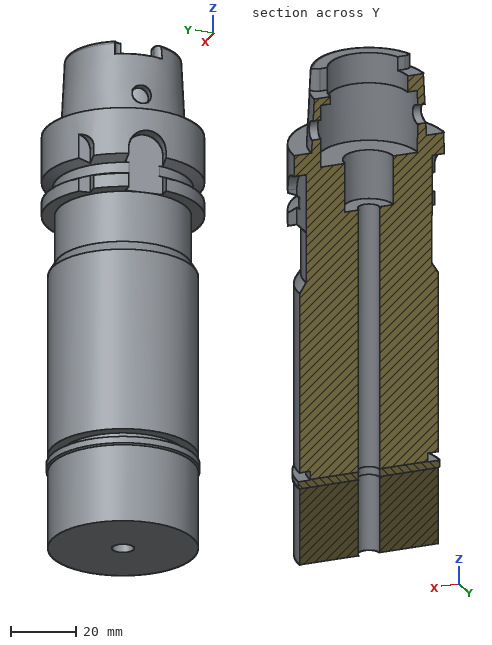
import cadquery as cq

TOTAL_LENGTH = 160.0
SLEEVE_LENGTH = 25.0
COLLAR_THICKNESS = 2.5
BARREL_BOTTOM_Z = 30.2
SHOULDER_BOTTOM_Z = 89.3
SHOULDER_TOP_Z = 92.6
COOLANT_HOLE_DIAMETER = 6.9

BARREL_DIAMETER = 46.0
COLLAR_DIAMETER = 47.0
COLLAR_CHAMFER = (COLLAR_DIAMETER - BARREL_DIAMETER) / 2
COLLAR_TOP_Z = SLEEVE_LENGTH + COLLAR_THICKNESS

RELIEF_DIAMETER = 39.0
NECK_DIAMETER = 42.0

FLANGE_DIAMETER = 50.0
FLANGE_HEIGHT = 26.0
GROOVE_DIAMETER = 43.0
GROOVE_TOP_DEPTH = 15.0
GROOVE_BOTTOM_DEPTH = 21.6
GROOVE_FLANK_HEIGHT = 1.6

TAPER_LENGTH = 25.0
TAPER_BASE_DIAMETER = 38.2
TAPER_RATIO = 0.1
TAPER_TOP_DIAMETER = TAPER_BASE_DIAMETER - TAPER_RATIO * TAPER_LENGTH
RIM_FILLET = 1.0
BORE_DIAMETER = 25.6
BORE_DEPTH = 30.0
UNDERCUT_DIAMETER = 32.0
UNDERCUT_TOP_DEPTH = 10.0
SOCKET_DIAMETER = 16.0
SOCKET_DEPTH = 16.0
CROSS_HOLE_DIAMETER = 6.0
CROSS_HOLE_HEIGHT = 7.2

NOTCH_WIDTH = 10.5
NOTCH_CORNER_FILLET = 2.5
NOTCH_FLARE_X = 16.6
LEFT_NOTCH_DEPTH = 4.5
RIGHT_NOTCH_DEPTH = 7.4

KEYWAY_FLOOR_X = NECK_DIAMETER / 2
KEYWAY_TOP_DEPTH = 7.0
LEFT_KEYWAY_WIDTH = 12.0
RIGHT_KEYWAY_WIDTH = 14.0
INDEX_FLOOR_X = -15.8
INDEX_NEAR_Y = 15.7
INDEX_RADIUS = 5.0

TAPER_BASE_Z = TOTAL_LENGTH - TAPER_LENGTH
FLANGE_BOTTOM_Z = TAPER_BASE_Z - FLANGE_HEIGHT


def cylinder(diameter, bottom_z, top_z):
    """Upright cylinder on the Z axis."""
    return cq.Workplane("XY").workplane(offset=bottom_z).circle(diameter / 2).extrude(top_z - bottom_z)


def holder_blank():
    """Revolved outside of the holder, from the relief up to the rounded rim of the taper."""
    groove_top_z = TAPER_BASE_Z - GROOVE_TOP_DEPTH
    groove_bottom_z = TAPER_BASE_Z - GROOVE_BOTTOM_DEPTH
    profile = [
        (0, COLLAR_TOP_Z),
        (RELIEF_DIAMETER / 2, COLLAR_TOP_Z),
        (RELIEF_DIAMETER / 2, BARREL_BOTTOM_Z),
        (BARREL_DIAMETER / 2, BARREL_BOTTOM_Z),
        (BARREL_DIAMETER / 2, SHOULDER_BOTTOM_Z),
        (NECK_DIAMETER / 2, SHOULDER_TOP_Z),
        (NECK_DIAMETER / 2, FLANGE_BOTTOM_Z),
        (FLANGE_DIAMETER / 2, FLANGE_BOTTOM_Z),
        (FLANGE_DIAMETER / 2, groove_bottom_z),
        (GROOVE_DIAMETER / 2, groove_bottom_z + GROOVE_FLANK_HEIGHT),
        (GROOVE_DIAMETER / 2, groove_top_z - GROOVE_FLANK_HEIGHT),
        (FLANGE_DIAMETER / 2, groove_top_z),
        (FLANGE_DIAMETER / 2, TAPER_BASE_Z),
        (TAPER_BASE_DIAMETER / 2, TAPER_BASE_Z),
        (TAPER_TOP_DIAMETER / 2, TOTAL_LENGTH),
        (0, TOTAL_LENGTH),
    ]
    blank = cq.Workplane("XZ").polyline(profile).close().revolve(360, (0, 0, 0), (0, 1, 0))
    return blank.faces(">Z").edges().fillet(RIM_FILLET)


def holder_cavity():
    """Clamping bore with its undercut, coolant socket and through hole."""
    bore_floor_z = TOTAL_LENGTH - BORE_DEPTH
    bore = cylinder(BORE_DIAMETER, bore_floor_z, TOTAL_LENGTH)
    undercut = cylinder(UNDERCUT_DIAMETER, bore_floor_z, TOTAL_LENGTH - UNDERCUT_TOP_DEPTH)
    socket = cylinder(SOCKET_DIAMETER, bore_floor_z - SOCKET_DEPTH, bore_floor_z)
    coolant_hole = cylinder(COOLANT_HOLE_DIAMETER, COLLAR_TOP_Z, bore_floor_z)
    return bore.union(undercut).union(socket).union(coolant_hole)


def cross_hole():
    """Radial hole along X through both walls of the taper."""
    return (
        cq.Workplane("YZ")
        .center(0, TAPER_BASE_Z + CROSS_HOLE_HEIGHT)
        .circle(CROSS_HOLE_DIAMETER / 2)
        .extrude(TAPER_BASE_DIAMETER / 2, both=True)
    )


def drive_notch(side, depth):
    """Notch in the rim on one X side, whose mouth flares out with rounded corners."""
    half_width = NOTCH_WIDTH / 2
    flare_start_x = NOTCH_FLARE_X - NOTCH_CORNER_FILLET
    flare_half_width = half_width + NOTCH_CORNER_FILLET
    outer_x = TAPER_BASE_DIAMETER / 2
    return (
        cq.Workplane("XY")
        .workplane(offset=TOTAL_LENGTH - depth)
        .moveTo(0, -half_width)
        .lineTo(side * flare_start_x, -half_width)
        .tangentArcPoint((side * NOTCH_FLARE_X, -flare_half_width), relative=False)
        .lineTo(side * outer_x, -flare_half_width)
        .lineTo(side * outer_x, flare_half_width)
        .lineTo(side * NOTCH_FLARE_X, flare_half_width)
        .tangentArcPoint((side * flare_start_x, half_width), relative=False)
        .lineTo(0, half_width)
        .close()
        .extrude(depth)
    )


def round_top_slot(side, floor_x, center_y, width, top_depth):
    """Slot milled along X into the flange, open at its bottom and round at its top."""
    radius = width / 2
    arc_center_z = TAPER_BASE_Z - top_depth - radius
    return (
        cq.Workplane("YZ")
        .workplane(offset=floor_x)
        .moveTo(center_y - radius, FLANGE_BOTTOM_Z)
        .lineTo(center_y - radius, arc_center_z)
        .threePointArc((center_y, arc_center_z + radius), (center_y + radius, arc_center_z))
        .lineTo(center_y + radius, FLANGE_BOTTOM_Z)
        .close()
        .extrude(side * (FLANGE_DIAMETER / 2 - abs(floor_x)))
    )


def make_holder():
    index_center_y = INDEX_NEAR_Y + INDEX_RADIUS
    return (
        holder_blank()
        .cut(holder_cavity())
        .cut(cross_hole())
        .cut(drive_notch(-1, LEFT_NOTCH_DEPTH))
        .cut(drive_notch(1, RIGHT_NOTCH_DEPTH))
        .cut(round_top_slot(-1, -KEYWAY_FLOOR_X, 0, LEFT_KEYWAY_WIDTH, KEYWAY_TOP_DEPTH))
        .cut(round_top_slot(1, KEYWAY_FLOOR_X, 0, RIGHT_KEYWAY_WIDTH, KEYWAY_TOP_DEPTH))
        .cut(round_top_slot(-1, INDEX_FLOOR_X, index_center_y, 2 * INDEX_RADIUS, KEYWAY_TOP_DEPTH))
    )


def make_collar():
    """Thin ring between the sleeve and the holder, chamfered at its lower edge."""
    disc = cylinder(COLLAR_DIAMETER, SLEEVE_LENGTH, COLLAR_TOP_Z)
    disc = disc.faces("<Z").edges().chamfer(COLLAR_CHAMFER)
    return disc.cut(cylinder(COOLANT_HOLE_DIAMETER, SLEEVE_LENGTH, COLLAR_TOP_Z))


def make_sleeve():
    """End sleeve below the collar."""
    body = cylinder(BARREL_DIAMETER, 0, SLEEVE_LENGTH)
    return body.cut(cylinder(COOLANT_HOLE_DIAMETER, 0, SLEEVE_LENGTH))


holder = make_holder()
collar = make_collar()
sleeve = make_sleeve()

result = cq.Compound.makeCompound([holder.val(), collar.val(), sleeve.val()])